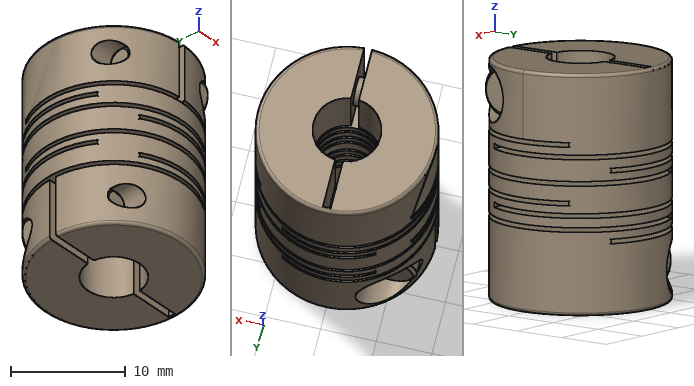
import cadquery as cq

LENGTH = 21.5
OUTER_DIAMETER = 16.0
BORE_DIAMETER = 6.0
RIM_ROUND = 0.3

SLIT_HEIGHT = 0.4
WEB_OFFSET = 4.2
SLIT_PAIR_SPACING = 1.1
PAIR_STEP = 2.35
HALF_STEP = 5.2
FIRST_SLIT_DEPTH = 6.32

CLAMP_SLIT_WIDTH = 0.7
CLAMP_SLIT_REACH = 7.57
TOP_CLAMP_SLIT_DEPTH = FIRST_SLIT_DEPTH - SLIT_HEIGHT / 2
BOTTOM_CLAMP_SLIT_DEPTH = 6.66
SCREW_OFFSET = 5.0
SCREW_END_DISTANCE = 3.0
SCREW_DIAMETER = 2.58
SCREW_TIP = -4.84
SCREW_TIP_CHAMFER = 0.25
HEAD_DIAMETER = 4.52
HEAD_SEAT = 2.0
HEAD_END = 4.5
HEAD_CHAMFER = 0.3
COUNTERBORE_DIAMETER = 4.9

outer_radius = OUTER_DIAMETER / 2
past_surface = OUTER_DIAMETER


def make_body():
    body = cq.Workplane("XY").circle(outer_radius).extrude(LENGTH)
    body = body.faces("<Z or >Z").edges().fillet(RIM_ROUND)
    return body.faces(">Z").workplane().hole(BORE_DIAMETER)


def flexure_slit(height, open_angle):
    """Slit in the middle of `height`, open toward `open_angle` about Z (0 is +X)."""
    reach = past_surface + WEB_OFFSET
    slit = cq.Workplane("XY").box(
        reach, 2 * past_surface, SLIT_HEIGHT, centered=(False, True, True)
    )
    return slit.translate((-WEB_OFFSET, 0, height)).rotate((0, 0, 0), (0, 0, 1), open_angle)


def clamp_slit(depth):
    """Slit down from the top face, open toward -Y and closed near +Y."""
    slit = cq.Workplane("XY").box(
        CLAMP_SLIT_WIDTH, past_surface + CLAMP_SLIT_REACH, depth, centered=(True, False, False)
    )
    return slit.translate((0, -past_surface, LENGTH - depth))


def rod_along_x(diameter, start, end):
    """Cylinder on the axis of the top clamp screw, from X = start to X = end."""
    plane = cq.Workplane("YZ", origin=(start, -SCREW_OFFSET, LENGTH - SCREW_END_DISTANCE))
    return plane.circle(diameter / 2).extrude(end - start)


def screw_hole():
    shank_hole = rod_along_x(SCREW_DIAMETER, -past_surface, HEAD_SEAT)
    return shank_hole.union(rod_along_x(COUNTERBORE_DIAMETER, HEAD_SEAT, past_surface))


def screw():
    shank = rod_along_x(SCREW_DIAMETER, SCREW_TIP, HEAD_SEAT)
    shank = shank.faces("<X").edges().chamfer(SCREW_TIP_CHAMFER)
    head = rod_along_x(HEAD_DIAMETER, HEAD_SEAT, HEAD_END)
    head = head.faces(">X").edges().chamfer(HEAD_CHAMFER)
    return shank.union(head)


def to_bottom(shape):
    """Half turn about the horizontal X = Y line at mid height: -Y becomes -X."""
    middle = LENGTH / 2
    return shape.rotate((0, 0, middle), (0.22, 0.22, middle), 180)


result = make_body()

open_angles = [(270, 90), (180, 0), (270, 90), (0, 180)]
for pair, angles in enumerate(open_angles):
    half, pair_in_half = divmod(pair, 2)
    first_height = LENGTH - FIRST_SLIT_DEPTH - half * HALF_STEP - pair_in_half * PAIR_STEP
    for slit, angle in enumerate(angles):
        result = result.cut(flexure_slit(first_height - slit * SLIT_PAIR_SPACING, angle))

result = result.cut(clamp_slit(TOP_CLAMP_SLIT_DEPTH))
result = result.cut(to_bottom(clamp_slit(BOTTOM_CLAMP_SLIT_DEPTH)))
result = result.cut(screw_hole()).cut(to_bottom(screw_hole()))
result = result.union(screw()).union(to_bottom(screw()))